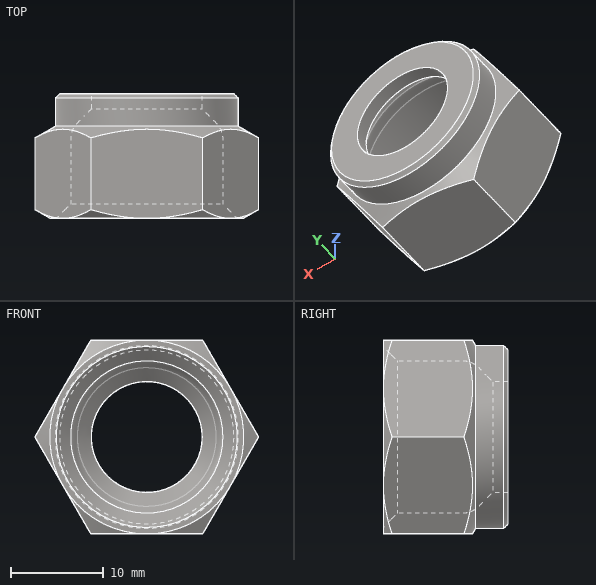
import cadquery as cq
import math

corner_width = 24.25
flat_radius = corner_width / 2 * math.cos(math.pi / 6)
total_length = 13.5
hex_length = 10.0
bevel_slope = math.tan(math.radians(30))

collar_radius = 9.92
collar_chamfer = 0.48

mouth_radius = 9.8
bore_radius = 8.25
mouth_depth = mouth_radius - bore_radius
seat_radius = 7.52
exit_radius = 6.0
seat_angle = math.radians(45)
blend_radius = (bore_radius - seat_radius) / (1 - math.cos(seat_angle))
blend_start = 8.58
seat_depth = blend_start + blend_radius * math.sin(seat_angle)
exit_start = seat_depth + (seat_radius - exit_radius) / math.tan(seat_angle)


def revolve_about_y(profile):
    """Turn a closed radius/length profile around the Y axis."""
    return profile.close().revolve(360, (0, 0, 0), (0, 1, 0))


def make_hexagon():
    """Hexagon with its corners bevelled by a cone at each end."""
    prism = cq.Workplane("XZ").polygon(6, corner_width).extrude(-hex_length)
    corner_radius = corner_width / 2
    front_bevel = (corner_radius - flat_radius) * bevel_slope
    back_bevel = (corner_radius - collar_radius) * bevel_slope
    envelope = revolve_about_y(
        cq.Workplane("XY")
        .lineTo(flat_radius, 0)
        .lineTo(corner_radius, front_bevel)
        .lineTo(corner_radius, hex_length - back_bevel)
        .lineTo(collar_radius, hex_length)
        .lineTo(0, hex_length)
    )
    return prism.intersect(envelope)


def make_collar():
    """Round collar with a chamfered rear edge."""
    collar = cq.Workplane("XZ").circle(collar_radius).extrude(-total_length)
    return collar.faces(">Y").chamfer(collar_chamfer)


def make_bore():
    """Conical mouth, straight bore, rounded blend, conical seat and cylindrical exit."""
    blend_middle = (
        bore_radius - blend_radius * (1 - math.cos(seat_angle / 2)),
        blend_start + blend_radius * math.sin(seat_angle / 2),
    )
    return revolve_about_y(
        cq.Workplane("XY")
        .lineTo(mouth_radius, 0)
        .lineTo(bore_radius, mouth_depth)
        .lineTo(bore_radius, blend_start)
        .threePointArc(blend_middle, (seat_radius, seat_depth))
        .lineTo(exit_radius, exit_start)
        .lineTo(exit_radius, total_length)
        .lineTo(0, total_length)
    )


result = make_hexagon().union(make_collar()).cut(make_bore())